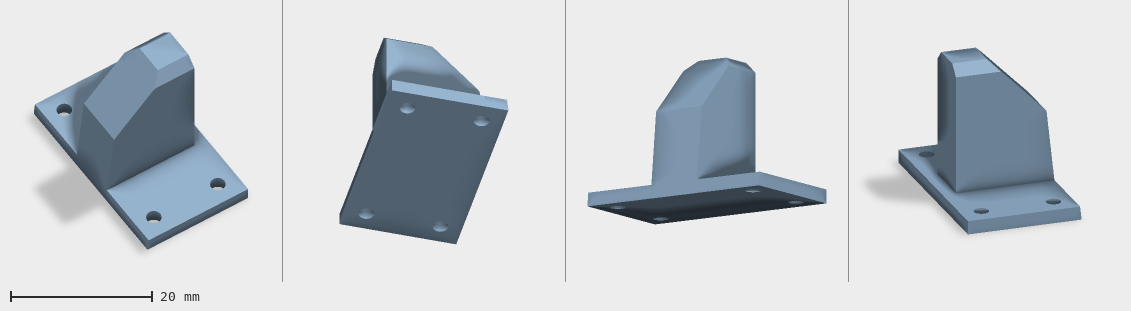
import cadquery as cq

plate_length = 29.24
plate_depth = 17.0
plate_thickness = 2.0
lip_height = 0.2

front_slope = 1 / 9

hole_diameter = 2.2
hole_inset = 3.1

total_height = 21.1
post_width = 7.75
post_back_setback = 2.02
knee_height = 12.7
top_chamfer = 1.55


def lean_offset(rise):
    """Distance the leaning front moves back over the given rise."""
    return rise * front_slope


def extrude_side_profile(points, width):
    """Extrude a (Y, Z) outline along X, centred on X = 0."""
    return cq.Workplane("YZ").polyline(points).close().extrude(width / 2, both=True)


def make_plate():
    profile = [
        (0, 0),
        (0, lip_height),
        (lean_offset(plate_thickness - lip_height), plate_thickness),
        (plate_depth, plate_thickness),
        (plate_depth, 0),
    ]
    plate = extrude_side_profile(profile, plate_length)
    front_gap_depth = lean_offset(plate_thickness)
    front_gap = cq.Workplane("XY").box(
        post_width, front_gap_depth, plate_thickness, centered=(True, False, False)
    )
    return plate.cut(front_gap)


def make_post():
    back = plate_depth - post_back_setback
    knee_y = lean_offset(knee_height)
    slant_end_y = knee_y + total_height - knee_height
    profile = [
        (0, 0),
        (knee_y, knee_height),
        (slant_end_y, total_height),
        (back, total_height),
        (back, 0),
    ]
    post = extrude_side_profile(profile, post_width)
    return post.faces(">Z").edges("|Y").chamfer(top_chamfer)


def drill_mounting_holes(body):
    hole_spacing_x = plate_length - 2 * hole_inset
    hole_spacing_y = plate_depth - 2 * hole_inset
    holes = (
        cq.Workplane("XY")
        .center(0, plate_depth / 2)
        .rarray(hole_spacing_x, hole_spacing_y, 2, 2)
        .circle(hole_diameter / 2)
        .extrude(plate_thickness)
    )
    return body.cut(holes)


result = drill_mounting_holes(make_plate().union(make_post()))